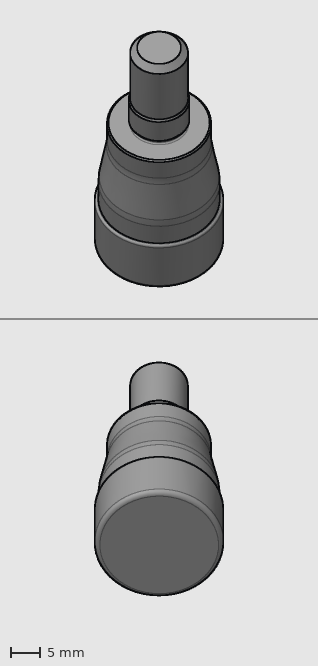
import cadquery as cq
import math

total_height = 49.0

cap_radius = 22.2 / 2
cap_height = 10.85
cap_bottom_fillet = 0.9
cap_top_fillet = 0.45

lower_radius = 20.9 / 2
upper_radius = 18.0 / 2
cone_bottom = 15.92
cone_top = 25.05
blend_radius = 9.3
shoulder_height = 30.05
shoulder_chamfer = 0.3

neck_radius = 4.8
neck_fillet = 0.3
neck_length = 0.15

collar_radius = 5.25
collar_bottom = 31.05
collar_bottom_chamfer = 0.3
collar_top = 35.85
collar_taper_height = 0.45
shaft_radius = 5.0
shaft_chamfer = 1.22


def make_cap():
    """Solid round cap with a rounded foot and a rounded top rim."""
    cap = cq.Workplane("XY").circle(cap_radius).extrude(cap_height)
    cap = cap.faces("<Z").edges().fillet(cap_bottom_fillet)
    return cap.faces(">Z").edges().fillet(cap_top_fillet)


def make_stem():
    """Stepped round stem, revolved about Z from a half profile in (radius, height)."""
    cone_angle = math.atan2(lower_radius - upper_radius, cone_top - cone_bottom)
    tangent_length = blend_radius * math.tan(cone_angle / 2)
    tangent_inset = tangent_length * math.sin(cone_angle)
    tangent_rise = tangent_length * math.cos(cone_angle)

    neck_start = shoulder_height + neck_fillet
    neck_end = neck_start + neck_length
    fillet_end_radius = neck_radius + neck_fillet
    chamfer_end_radius = collar_radius - collar_bottom_chamfer
    chamfer_end_height = collar_bottom - collar_bottom_chamfer
    arc_inset = neck_fillet * (1 - math.sqrt(0.5))
    arc_rise = neck_fillet * math.sqrt(0.5)

    profile = (
        cq.Workplane("XZ")
        .moveTo(0, cap_height)
        .lineTo(lower_radius, cap_height)
        .lineTo(lower_radius, cone_bottom - tangent_length)
        .tangentArcPoint((lower_radius - tangent_inset, cone_bottom + tangent_rise), relative=False)
        .lineTo(upper_radius + tangent_inset, cone_top - tangent_rise)
        .tangentArcPoint((upper_radius, cone_top + tangent_length), relative=False)
        .lineTo(upper_radius, shoulder_height - shoulder_chamfer)
        .lineTo(upper_radius - shoulder_chamfer, shoulder_height)
        .lineTo(fillet_end_radius, shoulder_height)
        .threePointArc((neck_radius + arc_inset, neck_start - arc_rise), (neck_radius, neck_start))
        .lineTo(neck_radius, neck_end)
        .tangentArcPoint((chamfer_end_radius, chamfer_end_height), relative=False)
        .lineTo(collar_radius, collar_bottom)
        .lineTo(collar_radius, collar_top)
        .lineTo(shaft_radius, collar_top + collar_taper_height)
        .lineTo(shaft_radius, total_height - shaft_chamfer)
        .lineTo(shaft_radius - shaft_chamfer, total_height)
        .lineTo(0, total_height)
        .close()
    )
    return profile.revolve(360, (0, 0, 0), (0, 1, 0))


cap = make_cap()
stem = make_stem()

result = cq.Compound.makeCompound([cap.val(), stem.val()])